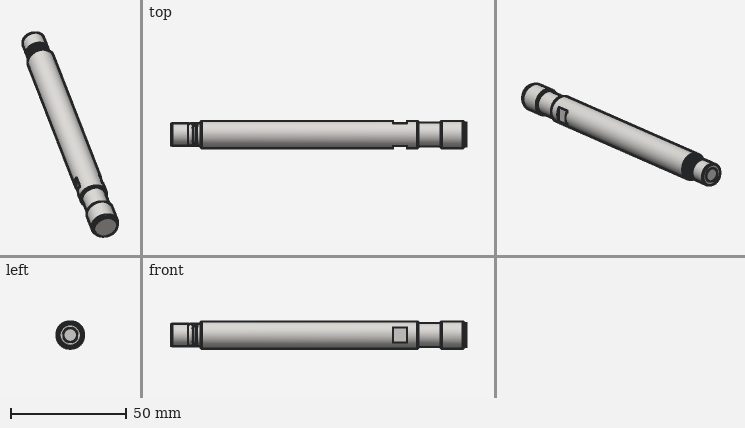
import cadquery as cq

overall_length = 128.4
tube_diameter = 12.0
neck_diameter = 10.5
spigot_diameter = 9.9

tube_start = 12.8
tube_end = 107.5
head_start = 117.2
head_end = 127.5

spigot_chamfer_length = 0.5
spigot_chamfer_height = 0.3
tube_chamfer = 0.5
head_start_chamfer = 0.5
head_end_chamfer = (tube_diameter - neck_diameter) / 2

ring_section_diameter = 2.0
ring_groove_start = 7.5
ring_groove_end = ring_groove_start + ring_section_diameter
ring_groove_diameter = spigot_diameter - 2 * ring_section_diameter

relief_start = 10.5
relief_width = 0.8
relief_diameter = 7.0

recess_diameter = 6.0
recess_depth = 0.1

flat_start = 96.5
flat_length = 5.9
across_flats = 10.0


def make_shaft_blank():
    """Turned outline, revolved about the X axis. The outline lies on the -Y side."""
    tube_radius = tube_diameter / 2
    neck_radius = neck_diameter / 2
    spigot_radius = spigot_diameter / 2
    ring_groove_radius = ring_groove_diameter / 2
    relief_radius = relief_diameter / 2
    relief_end = relief_start + relief_width
    outline = [
        (0, 0),
        (0, spigot_radius - spigot_chamfer_height),
        (spigot_chamfer_length, spigot_radius),
        (ring_groove_start, spigot_radius),
        (ring_groove_start, ring_groove_radius),
        (ring_groove_end, ring_groove_radius),
        (ring_groove_end, spigot_radius),
        (relief_start, spigot_radius),
        (relief_start, relief_radius),
        (relief_end, relief_radius),
        (relief_end, spigot_radius),
        (tube_start, spigot_radius),
        (tube_start, tube_radius - tube_chamfer),
        (tube_start + tube_chamfer, tube_radius),
        (tube_end - tube_chamfer, tube_radius),
        (tube_end, tube_radius - tube_chamfer),
        (tube_end, neck_radius),
        (head_start, neck_radius),
        (head_start, tube_radius - head_start_chamfer),
        (head_start + head_start_chamfer, tube_radius),
        (head_end - head_end_chamfer, tube_radius),
        (head_end, neck_radius),
        (overall_length, neck_radius),
        (overall_length, 0),
    ]
    points = [(x, -radius) for x, radius in outline]
    return cq.Workplane("XY").polyline(points).close().revolve(360, (0, 0, 0), (1, 0, 0))


def cut_end_recess(shaft):
    recess = cq.Workplane("YZ").circle(recess_diameter / 2).extrude(recess_depth)
    return shaft.cut(recess)


def cut_wrench_flats(shaft):
    cutter_thickness = tube_diameter - across_flats
    flat_middle = flat_start + flat_length / 2
    for side in (-1, 1):
        cutter_middle = side * (across_flats + cutter_thickness) / 2
        cutter = cq.Workplane("XY").box(flat_length, cutter_thickness, tube_diameter)
        shaft = shaft.cut(cutter.translate((flat_middle, cutter_middle, 0)))
    return shaft


def make_shaft():
    return cut_wrench_flats(cut_end_recess(make_shaft_blank()))


def make_o_ring():
    """Round-section ring that touches the groove floor and walls, level with the spigot surface."""
    section_radius = ring_section_diameter / 2
    section_middle = cq.Vector(ring_groove_start + section_radius, 0, 0)
    return cq.Solid.makeTorus(
        spigot_diameter / 2 - section_radius,
        section_radius,
        section_middle,
        cq.Vector(1, 0, 0),
    )


shaft = make_shaft()
o_ring = make_o_ring()

result = cq.Compound.makeCompound([shaft.val(), o_ring])